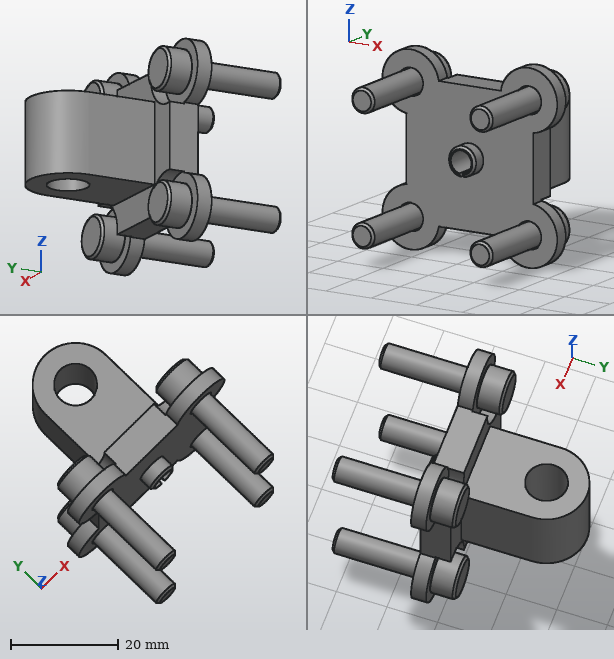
import cadquery as cq


overall_length = 45
screw_protrusion = 17.0

plate_width = 28.0
plate_thickness = 6.0
screw_spacing = 26.0
ear_diameter = 12.5
ear_thickness = plate_thickness / 2
head_relief_diameter = 13.0
screw_hole_diameter = 5.5

eye_width = 16.0
eye_center_y = overall_length - screw_protrusion - eye_width / 2
eye_bore_diameter = 8.0

shank_diameter = 5.0
shank_length = screw_protrusion + ear_thickness
shank_chamfer = 0.5
head_diameter = 8.5
head_height = 5.0
head_chamfer = 0.5
head_edge_break = 0.15

pin_diameter = 6.0
pin_bore_diameter = 4.5
pin_protrusion = 3.0
pin_depth = plate_thickness
pin_slot_width = 0.8
pin_chamfer = 0.5

screw_places = [
    (x_side * screw_spacing / 2, z_side * screw_spacing / 2)
    for x_side in (-1, 1)
    for z_side in (-1, 1)
]


def xz_plane(y):
    """Work plane at depth y whose local axes are +X and +Z and whose normal is -Y."""
    return cq.Workplane("XZ", origin=(0, y, 0))


def cylinder(diameter, y_start, y_end, places=((0, 0),)):
    """Cylinders along Y between two end positions, centred at the given (x, z) places."""
    return xz_plane(y_end).pushPoints(places).circle(diameter / 2).extrude(y_end - y_start)


def make_eye():
    """Lug rising from the mounting face, rounded at its end and bored along Z."""
    half_width = eye_width / 2
    lug = (
        cq.Workplane("XY", origin=(0, 0, -half_width))
        .moveTo(-half_width, 0)
        .lineTo(half_width, 0)
        .lineTo(half_width, eye_center_y)
        .threePointArc((0, eye_center_y + half_width), (-half_width, eye_center_y))
        .close()
        .extrude(eye_width)
    )
    bore = (
        cq.Workplane("XY", origin=(0, eye_center_y, -half_width))
        .circle(eye_bore_diameter / 2)
        .extrude(eye_width)
    )
    return lug.cut(bore)


def make_flange():
    """Square plate with four round ears and an eye, drilled for the screws and the pin."""
    plate = xz_plane(plate_thickness).rect(plate_width, plate_width).extrude(plate_thickness)
    head_reliefs = cylinder(head_relief_diameter, ear_thickness, plate_thickness, screw_places)
    ears = cylinder(ear_diameter, 0, ear_thickness, screw_places)
    screw_holes = cylinder(screw_hole_diameter, 0, ear_thickness, screw_places)
    pin_hole = cylinder(pin_diameter, 0, pin_depth)
    body = plate.cut(head_reliefs).union(ears).union(make_eye())
    return body.cut(screw_holes).cut(pin_hole)


def make_screw(x, z):
    """Cap screw along Y, its head resting on an ear."""
    head = cylinder(head_diameter, ear_thickness, ear_thickness + head_height, [(x, z)])
    head = head.faces(">Y").edges().chamfer(head_chamfer)
    head = head.faces("<Y").edges().chamfer(head_edge_break)
    shank = cylinder(shank_diameter, ear_thickness - shank_length, ear_thickness, [(x, z)])
    shank = shank.faces("<Y").edges().chamfer(shank_chamfer)
    return head.union(shank)


def make_spring_pin():
    """Thin-walled sleeve along Y, slotted along its -Z side and chamfered at its free end."""
    sleeve = cylinder(pin_diameter, -pin_protrusion, pin_depth)
    sleeve = sleeve.faces("<Y").edges().chamfer(pin_chamfer)
    bore = cylinder(pin_bore_diameter, -pin_protrusion, pin_depth)
    slot = (
        xz_plane(pin_depth)
        .center(0, -pin_diameter / 2)
        .rect(pin_slot_width, pin_diameter)
        .extrude(pin_depth + pin_protrusion)
    )
    return sleeve.cut(bore).cut(slot)


flange = make_flange()
spring_pin = make_spring_pin()
screws = [make_screw(x, z) for x, z in screw_places]

result = cq.Compound.makeCompound(
    [flange.val(), spring_pin.val(), *[screw.val() for screw in screws]]
)